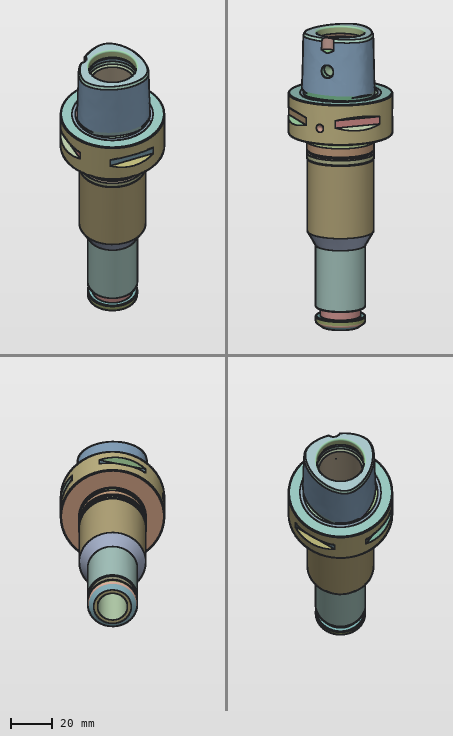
import cadquery as cq
import math

total_height = 145.5
flange_top = 115.5
flange_bottom = 95.5
cone_top = 47.1
cone_bottom = 40.2
neck_top = 9.6
neck_bottom = 5.2
head_edge = 2.9

flange_radius = 50.0 / 2
flange_chamfer = 0.5
band_radius = 32.5 / 2
body_radius = 32.0 / 2
tail_radius = 24.0 / 2
neck_radius = 19.5 / 2
tail_chamfer = 0.5
head_rounding = 1.5
head_cone_angle = 36.0

undercut_height = 1.0
undercut_depth = 0.5
upper_band_bottom = 93.5
middle_band_top = 91.7
middle_band_bottom = 87.5
lower_band_top = 85.7
lower_band_bottom = 83.5
round_groove_depth = 0.6
vee_groove_depth = 0.9
band_edge = 0.6

lobe_height = 1.13
coupling_base_radius = 35.0 / 2
coupling_taper = 1 / 40
prism_top = 117.7
coupling_chamfer_height = 1.5
coupling_chamfer_width = 0.7
outline_points = 48

foot_radius = 17.9
relief_radius = 19.5
relief_depth = 0.6

through_radius = 14.4 / 2
through_edge_radius = 15.0 / 2
deep_bore_radius = 21.0 / 2
mouth_bore_radius = 11.5
mouth_rounding = 0.7
grip_groove_radius = 24.0 / 2
mouth_throat_radius = 10.9
grip_groove_start = 3.5
grip_wall_start = 5.2
grip_wall_end = 7.0
seat_start = 8.3
deep_bore_floor = 43.6

drill_point_slope = math.tan(math.radians(90 - 118 / 2))
key_radius = 3.5
key_axis_x = -17.0
key_floor = 140.0
side_hole_radius = 6.1 / 2
side_hole_depth = 3.6
side_hole_bevel = 0.22
side_hole_z = 129.5
flange_dimple_radius = 4.0 / 2
flange_dimple_z = 103.5
slot_floor_distance = 22.3
slot_floor_top = 107.7
slot_floor_bottom = 104.0
slot_flank_angle = 30.0


def revolve(outline):
    return outline.close().revolve(360, (0, 0, 0), (0, 1, 0))


def head_rounding_point(angle):
    """Point of the rounded edge of the head, the given angle below its cylinder."""
    x = tail_radius - head_rounding * (1 - math.cos(angle))
    z = head_edge - head_rounding * math.sin(angle)
    return (x, z)


def make_turned_body():
    rounding_sweep = math.radians(90 - head_cone_angle)
    rounding_start = head_rounding_point(rounding_sweep)
    rounding_middle = head_rounding_point(rounding_sweep / 2)
    head_end_radius = rounding_start[0] - rounding_start[1] / math.tan(math.radians(head_cone_angle))
    groove_middle = (upper_band_bottom + middle_band_top) / 2
    outline = (
        cq.Workplane("XZ")
        .moveTo(0, 0)
        .lineTo(head_end_radius, 0)
        .lineTo(*rounding_start)
        .threePointArc(rounding_middle, (tail_radius, head_edge))
        .lineTo(tail_radius, neck_bottom - tail_chamfer)
        .lineTo(tail_radius - tail_chamfer, neck_bottom)
        .lineTo(neck_radius, neck_bottom)
        .lineTo(neck_radius, neck_top)
        .lineTo(tail_radius - tail_chamfer, neck_top)
        .lineTo(tail_radius, neck_top + tail_chamfer)
        .lineTo(tail_radius, cone_bottom)
        .lineTo(body_radius, cone_top)
        .lineTo(body_radius, lower_band_bottom - band_edge)
        .lineTo(band_radius, lower_band_bottom)
        .lineTo(band_radius, lower_band_top)
        .lineTo(band_radius - vee_groove_depth, lower_band_top + band_edge)
        .lineTo(band_radius - vee_groove_depth, middle_band_bottom - band_edge)
        .lineTo(band_radius, middle_band_bottom)
        .lineTo(band_radius, middle_band_top)
        .threePointArc(
            (band_radius - round_groove_depth, groove_middle),
            (band_radius, upper_band_bottom),
        )
        .lineTo(band_radius, flange_bottom - undercut_height)
        .lineTo(band_radius - undercut_depth, flange_bottom)
        .lineTo(flange_radius - flange_chamfer, flange_bottom)
        .lineTo(flange_radius, flange_bottom + flange_chamfer)
        .lineTo(flange_radius, flange_top - flange_chamfer)
        .lineTo(flange_radius - flange_chamfer, flange_top)
        .lineTo(relief_radius, flange_top)
        .threePointArc(
            ((relief_radius + foot_radius) / 2, flange_top - relief_depth),
            (foot_radius, flange_top),
        )
        .lineTo(0, flange_top)
    )
    return revolve(outline)


def lobed_point(mean_radius, angle):
    """Point of the lobed outline whose outward normal lies at the given angle."""
    reach = mean_radius + lobe_height * math.cos(3 * angle)
    slide = -3 * lobe_height * math.sin(3 * angle)
    x = reach * math.cos(angle) - slide * math.sin(angle)
    y = reach * math.sin(angle) + slide * math.cos(angle)
    return (x, y)


def lobed_wire(mean_radius, height):
    points = [
        lobed_point(mean_radius, 2 * math.pi * i / outline_points)
        for i in range(outline_points)
    ]
    return cq.Workplane("XY", origin=(0, 0, height)).spline(points, periodic=True).wire().val()


def make_coupling():
    coupling_overlap = 1.2
    chamfer_bottom = total_height - coupling_chamfer_height
    shoulder_radius = coupling_base_radius - coupling_taper * (chamfer_bottom - prism_top)
    sections = [
        lobed_wire(coupling_base_radius, flange_top - coupling_overlap),
        lobed_wire(coupling_base_radius, prism_top),
        lobed_wire(shoulder_radius, chamfer_bottom),
        lobed_wire(shoulder_radius - coupling_chamfer_width, total_height),
    ]
    coupling = cq.Workplane(cq.Solid.makeLoft(sections, True))

    shoulder_clearance = 1.2
    tip_radius = coupling_base_radius + lobe_height
    outer_radius = tip_radius + shoulder_clearance
    shoulder_bottom = prism_top - (tip_radius - foot_radius)
    envelope = revolve(
        cq.Workplane("XZ")
        .moveTo(0, 0)
        .lineTo(foot_radius, 0)
        .lineTo(foot_radius, shoulder_bottom)
        .lineTo(outer_radius, prism_top + shoulder_clearance)
        .lineTo(outer_radius, total_height)
        .lineTo(0, total_height)
    )
    return coupling.intersect(envelope)


def make_bore():
    seat_end = seat_start + mouth_bore_radius - deep_bore_radius
    edge_height = through_edge_radius - through_radius
    arc_sag = mouth_rounding * (1 - math.sqrt(0.5))
    steps = [
        (mouth_throat_radius, grip_groove_start),
        (grip_groove_radius, grip_wall_start),
        (grip_groove_radius, grip_wall_end),
        (mouth_bore_radius, seat_start),
        (deep_bore_radius, seat_end),
        (deep_bore_radius, deep_bore_floor),
        (through_edge_radius, deep_bore_floor),
        (through_radius, deep_bore_floor + edge_height),
        (through_radius, total_height),
        (0, total_height),
    ]
    outline = (
        cq.Workplane("XZ")
        .moveTo(0, total_height)
        .lineTo(mouth_bore_radius + mouth_rounding, total_height)
        .threePointArc(
            (mouth_bore_radius + arc_sag, total_height - arc_sag),
            (mouth_bore_radius, total_height - mouth_rounding),
        )
    )
    for radius, depth in steps:
        outline = outline.lineTo(radius, total_height - depth)
    return revolve(outline)


def make_key_groove():
    """Upright drilled groove in the coupling wall, ending in a drill point."""
    drill = revolve(
        cq.Workplane("XZ")
        .moveTo(0, key_floor - key_radius * drill_point_slope)
        .lineTo(key_radius, key_floor)
        .lineTo(key_radius, total_height)
        .lineTo(0, total_height)
    )
    return drill.translate((key_axis_x, 0, 0))


def make_side_hole(radius, depth, surface_x, height):
    """Hole drilled from the -X side; depth is the straight length inside surface_x."""
    clearance = 1.5
    hole = (
        cq.Workplane("XZ")
        .moveTo(surface_x + depth + radius * drill_point_slope, 0)
        .lineTo(surface_x + depth, radius)
        .lineTo(surface_x - clearance, radius)
        .lineTo(surface_x - clearance, 0)
        .close()
        .revolve(360, (0, 0, 0), (1, 0, 0))
    )
    return hole.translate((0, 0, height))


def make_side_hole_bevel(surface_x):
    """45 degree cone that breaks the mouth of the hole in the coupling wall."""
    mouth_radius = side_hole_radius + side_hole_bevel
    start = cq.Vector(surface_x, 0, side_hole_z)
    inward = cq.Vector(1, 0, 0)
    return cq.Workplane(cq.Solid.makeCone(mouth_radius, 0, mouth_radius, start, inward))


def make_gripper_slots():
    """Four flat-bottomed slots with sloping flanks, on the diagonals of the flange."""
    clearance = 1.5
    slot_depth = flange_radius - slot_floor_distance + clearance
    flank_rise = slot_depth * math.tan(math.radians(slot_flank_angle))
    profile = (
        cq.Workplane("XZ")
        .moveTo(slot_floor_distance, slot_floor_bottom)
        .lineTo(slot_floor_distance + slot_depth, slot_floor_bottom - flank_rise)
        .lineTo(slot_floor_distance + slot_depth, slot_floor_top + flank_rise)
        .lineTo(slot_floor_distance, slot_floor_top)
        .close()
        .extrude(flange_radius, both=True)
    )
    slots = cq.Workplane()
    for angle in (45, 135, 225, 315):
        slots = slots.union(profile.rotate((0, 0, 0), (0, 0, 1), angle))
    return slots


coupling_wall_x = lobe_height - coupling_base_radius + coupling_taper * (side_hole_z - prism_top)

result = (
    make_turned_body()
    .union(make_coupling())
    .cut(make_bore())
    .cut(make_key_groove())
    .cut(make_side_hole(side_hole_radius, side_hole_depth, coupling_wall_x, side_hole_z))
    .cut(make_side_hole_bevel(coupling_wall_x))
    .cut(make_side_hole(flange_dimple_radius, 0, -flange_radius, flange_dimple_z))
    .cut(make_gripper_slots())
)